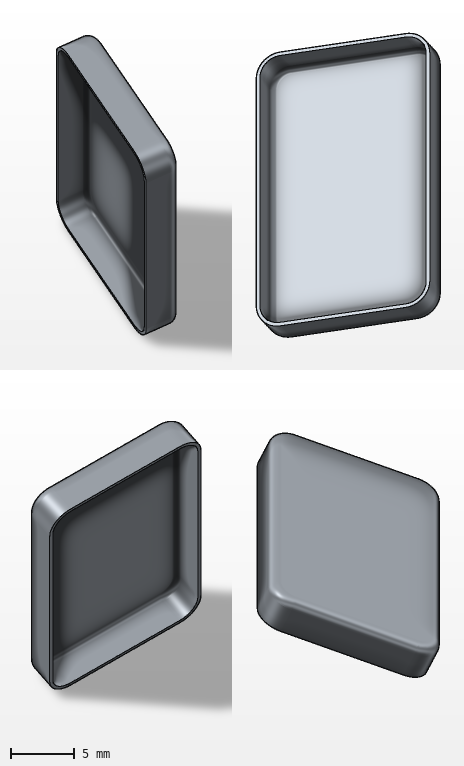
import cadquery as cq

width = 14.5
depth = 3.0
height = 23.3

wall = 0.3
corner_radius = 2.0
edge_radius = 0.8


def rounded_block(size_x, size_y, size_z, corner, edge):
    """Block from Y = 0 to size_y with rounded corners and a rounded +Y rim."""
    block = cq.Workplane("XY").box(size_x, size_y, size_z, centered=(True, False, True))
    return block.edges("|Y").fillet(corner).faces(">Y").edges().fillet(edge)


outer_shell = rounded_block(width, depth, height, corner_radius, edge_radius)

cavity = rounded_block(
    width - 2 * wall,
    depth - wall,
    height - 2 * wall,
    corner_radius - wall,
    edge_radius - wall,
)

result = outer_shell.cut(cavity)